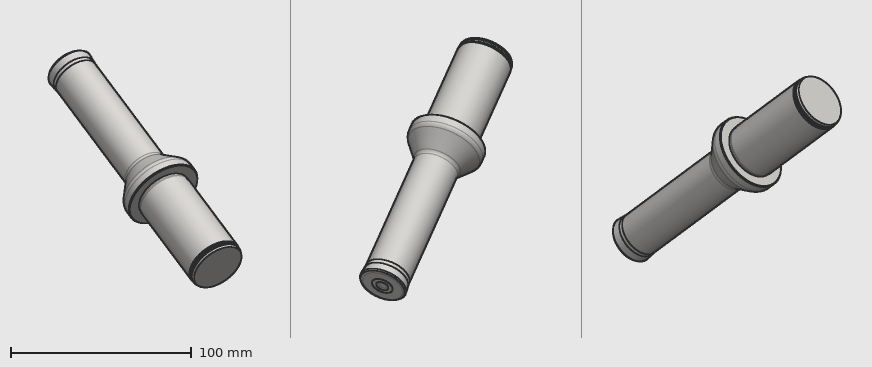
import cadquery as cq
import math

LENGTH = 165.0

CAP_LENGTH = 8.5
CAP_FACE_X = 0.2
CAP_FACE_RADIUS = 11.7
CAP_RADIUS = 13.7
CAP_RADIUS_X = 1.3
CAP_SHOULDER_RADIUS = 13.0
CAP_SHOULDER_X = 0.41

BOSS_RADIUS = 6.1
DIMPLE_RADIUS = 3.6
DIMPLE_STEP_RADIUS = 3.0
DIMPLE_STEP_DEPTH = 0.3
DIMPLE_FLOOR_RADIUS = 2.1
DIMPLE_FLOOR_DEPTH = 0.7
DIMPLE_TIP_DEPTH = 0.8

SLIM_RADIUS = 26.0 / 2
SLIM_START_X = 6.1
NECK_FILLET_X = 84.3
NECK_FILLET_RADIUS = 4.3
FLARE_ANGLE = math.radians(35.5)
COLLAR_RADIUS = 44.0 / 2
RIM_FILLET_RADIUS = 5.1
COLLAR_END_X = 105.0
COLLAR_CHAMFER = 0.5

REAR_RADIUS = 32.0 / 2
STEP_RADIUS = 31.5 / 2
UNDERCUT_END_X = 106.0
REAR_START_X = 107.0
REAR_END_X = 161.0
GROOVE_RADIUS = 15.5
GROOVE_START_X = 161.5
GROOVE_END_X = 162.2
END_TAPER_X = 163.5
END_RADIUS = 15.2


def revolve_about_x(profile):
    """Revolve a closed half-profile (x, radius) about the X axis."""
    return profile.close().revolve(360, (0, 0, 0), (1, 0, 0))


def arc_point(start_x, start_radius, fillet_radius, angle):
    """Point on an fillet arc measured from its end parallel to X."""
    return (
        start_x + fillet_radius * math.sin(angle),
        start_radius + fillet_radius * (1 - math.cos(angle)),
    )


def make_cap():
    return revolve_about_x(
        cq.Workplane("XY")
        .moveTo(DIMPLE_TIP_DEPTH, 0)
        .lineTo(DIMPLE_FLOOR_DEPTH, DIMPLE_FLOOR_RADIUS)
        .lineTo(DIMPLE_STEP_DEPTH, DIMPLE_STEP_RADIUS)
        .lineTo(0, DIMPLE_RADIUS)
        .lineTo(0, BOSS_RADIUS)
        .lineTo(CAP_FACE_X, BOSS_RADIUS)
        .lineTo(CAP_FACE_X, CAP_FACE_RADIUS)
        .lineTo(CAP_SHOULDER_X, CAP_SHOULDER_RADIUS)
        .lineTo(CAP_RADIUS_X, CAP_RADIUS)
        .lineTo(CAP_LENGTH, SLIM_RADIUS)
        .lineTo(SLIM_START_X, SLIM_RADIUS)
        .lineTo(SLIM_START_X, 0)
    )


def make_shank():
    neck_mid = arc_point(NECK_FILLET_X, SLIM_RADIUS, NECK_FILLET_RADIUS, FLARE_ANGLE / 2)
    flare_start = arc_point(NECK_FILLET_X, SLIM_RADIUS, NECK_FILLET_RADIUS, FLARE_ANGLE)

    flare_end_radius = COLLAR_RADIUS - RIM_FILLET_RADIUS * (1 - math.cos(FLARE_ANGLE))
    flare_end_x = flare_start[0] + (flare_end_radius - flare_start[1]) / math.tan(FLARE_ANGLE)
    rim_x = flare_end_x + RIM_FILLET_RADIUS * math.sin(FLARE_ANGLE)
    rim_mid = arc_point(rim_x, COLLAR_RADIUS, -RIM_FILLET_RADIUS, FLARE_ANGLE / 2)

    return revolve_about_x(
        cq.Workplane("XY")
        .moveTo(SLIM_START_X, 0)
        .lineTo(SLIM_START_X, SLIM_RADIUS)
        .lineTo(NECK_FILLET_X, SLIM_RADIUS)
        .threePointArc(neck_mid, flare_start)
        .lineTo(flare_end_x, flare_end_radius)
        .threePointArc(rim_mid, (rim_x, COLLAR_RADIUS))
        .lineTo(COLLAR_END_X - COLLAR_CHAMFER, COLLAR_RADIUS)
        .lineTo(COLLAR_END_X, COLLAR_RADIUS - COLLAR_CHAMFER)
        .lineTo(COLLAR_END_X, STEP_RADIUS)
        .lineTo(UNDERCUT_END_X, STEP_RADIUS)
        .lineTo(REAR_START_X, REAR_RADIUS)
        .lineTo(REAR_END_X, REAR_RADIUS)
        .lineTo(GROOVE_START_X, GROOVE_RADIUS)
        .lineTo(GROOVE_END_X, GROOVE_RADIUS)
        .lineTo(GROOVE_END_X, STEP_RADIUS)
        .lineTo(END_TAPER_X, STEP_RADIUS)
        .lineTo(LENGTH, END_RADIUS)
        .lineTo(LENGTH, 0)
    )


cap = make_cap()
shank = make_shank()
result = cq.Compound.makeCompound([cap.val(), shank.val()])